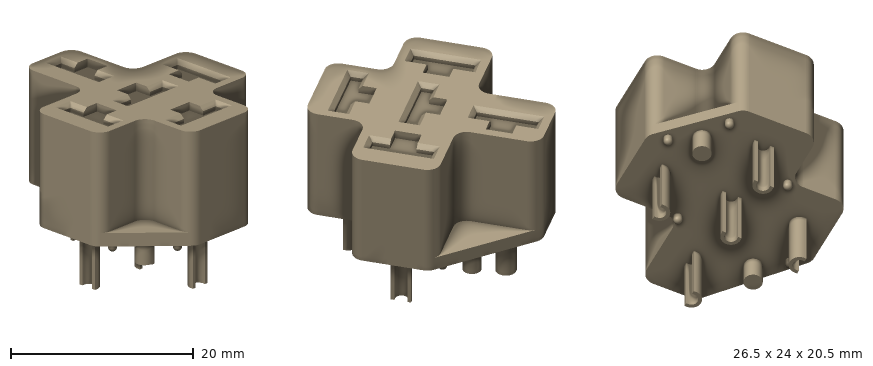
import cadquery as cq
import math


overall_length = 26.5
body_height = 13.5
corner_radius = 1.5
long_arm_half_width = 5.0
long_arm_reach = 12.0
left_arm_reach = 14.46
left_arm_half_width = 3.8
right_arm_reach = overall_length - left_arm_reach
right_arm_half_width = 4.98
gusset_height = 1.6

slot_length = 8.03
slot_width = 2.45
slot_bevel = 0.5
slot_depth = 1.0
stem_width = 3.02
stem_reach = 2.8

leg_length = 6.95
leg_outer_radius = 1.17
leg_wall = 0.42
leg_lip = 0.3

peg_radius = 1.05
peg_length = 2.75
peg_offset_y = 6.5
peg_positions = [(6.46, -peg_offset_y), (-7.45, peg_offset_y)]
bump_radius = 0.5
bump_height = 1.0
bump_inset = 4.77
left_bump_inset = 3.97
gusset_bump_inset = 5.03
bump_offset = 9.8
bump_positions = [
    (bump_inset, -bump_offset),
    (bump_offset, -bump_inset),
    (bump_inset, bump_inset),
    (-bump_inset, -left_bump_inset),
    (-gusset_bump_inset, bump_offset),
]

end_terminal_offset = 8.5
left_terminal_x = -9.5
centre_terminal_x = 0.37
right_terminal_x = 8.4
terminals = [
    (0, end_terminal_offset, 180),
    (0, -end_terminal_offset, 0),
    (left_terminal_x, 0, 0),
    (centre_terminal_x, 0, 90),
    (right_terminal_x, 0, 90),
]


def make_cross():
    """Cross-shaped block with every vertical edge rounded."""
    outline = [
        (-left_arm_reach, -left_arm_half_width),
        (-long_arm_half_width, -left_arm_half_width),
        (-long_arm_half_width, -long_arm_reach),
        (long_arm_half_width, -long_arm_reach),
        (long_arm_half_width, -right_arm_half_width),
        (right_arm_reach, -right_arm_half_width),
        (right_arm_reach, right_arm_half_width),
        (long_arm_half_width, right_arm_half_width),
        (long_arm_half_width, long_arm_reach),
        (-long_arm_half_width, long_arm_reach),
        (-long_arm_half_width, left_arm_half_width),
        (-left_arm_reach, left_arm_half_width),
    ]
    block = cq.Workplane("XY").polyline(outline).close().extrude(body_height)
    return block.edges("|Z").fillet(corner_radius)


def make_gusset(side, arm_reach, arm_half_width):
    """Low web tangent to the end corners of two arms; side is +1 for +X -Y, -1 for -X +Y."""
    arm_centre = (arm_reach - corner_radius, corner_radius - arm_half_width)
    end_centre = (long_arm_half_width - corner_radius, corner_radius - long_arm_reach)
    run = arm_centre[0] - end_centre[0]
    rise = arm_centre[1] - end_centre[1]
    span = math.hypot(run, rise)
    shift_x = corner_radius * rise / span
    shift_y = -corner_radius * run / span
    outline = [
        arm_centre,
        (arm_centre[0] + shift_x, arm_centre[1] + shift_y),
        (end_centre[0] + shift_x, end_centre[1] + shift_y),
        end_centre,
        (long_arm_half_width, -arm_half_width),
    ]
    placed = [(side * x, side * y) for x, y in outline]
    return cq.Workplane("XY").polyline(placed).close().extrude(gusset_height)


def place(shape, x, y, turn):
    """Turn a terminal feature about Z and move it to its position."""
    return shape.rotate((0, 0, 0), (0, 0, 1), turn).translate((x, y, 0))


def make_slot():
    """T-shaped pocket: a bevelled blade slot with a straight stem toward +Y."""
    floor = body_height - slot_depth
    blade = (
        cq.Workplane("XY", origin=(0, 0, floor))
        .rect(slot_length - 2 * slot_bevel, slot_width - 2 * slot_bevel)
        .extrude(slot_depth)
    )
    bevel = (
        cq.Workplane("XY", origin=(0, 0, body_height))
        .rect(slot_length, slot_width)
        .workplane(offset=-slot_bevel)
        .rect(slot_length - 2 * slot_bevel, slot_width - 2 * slot_bevel)
        .loft(ruled=True)
    )
    stem = (
        cq.Workplane("XY", origin=(0, stem_reach / 2, floor))
        .rect(stem_width, stem_reach)
        .extrude(slot_depth)
    )
    return blade.union(bevel).union(stem)


def make_leg():
    """U-shaped channel leg, open toward -Y."""
    inner_radius = leg_outer_radius - leg_wall
    return (
        cq.Workplane("XY")
        .moveTo(-leg_outer_radius, -leg_lip)
        .lineTo(-leg_outer_radius, 0)
        .threePointArc((0, leg_outer_radius), (leg_outer_radius, 0))
        .lineTo(leg_outer_radius, -leg_lip)
        .lineTo(inner_radius, -leg_lip)
        .lineTo(inner_radius, 0)
        .threePointArc((0, inner_radius), (-inner_radius, 0))
        .lineTo(-inner_radius, -leg_lip)
        .close()
        .extrude(-leg_length)
    )


def make_bump():
    """Short pin with a hemispherical tip."""
    shank_length = bump_height - bump_radius
    diagonal = bump_radius * math.sqrt(0.5)
    return (
        cq.Workplane("XZ")
        .lineTo(bump_radius, 0)
        .lineTo(bump_radius, -shank_length)
        .threePointArc((diagonal, -shank_length - diagonal), (0, -bump_height))
        .close()
        .revolve(360, (0, 0, 0), (0, 1, 0))
    )


result = make_cross()
result = result.union(make_gusset(1, right_arm_reach, right_arm_half_width))
result = result.union(make_gusset(-1, left_arm_reach, left_arm_half_width))

for x, y, turn in terminals:
    result = result.cut(place(make_slot(), x, y, turn))
    result = result.union(place(make_leg(), x, y, turn))

for x, y in peg_positions:
    result = result.union(cq.Workplane("XY").center(x, y).circle(peg_radius).extrude(-peg_length))

for x, y in bump_positions:
    result = result.union(make_bump().translate((x, y, 0)))